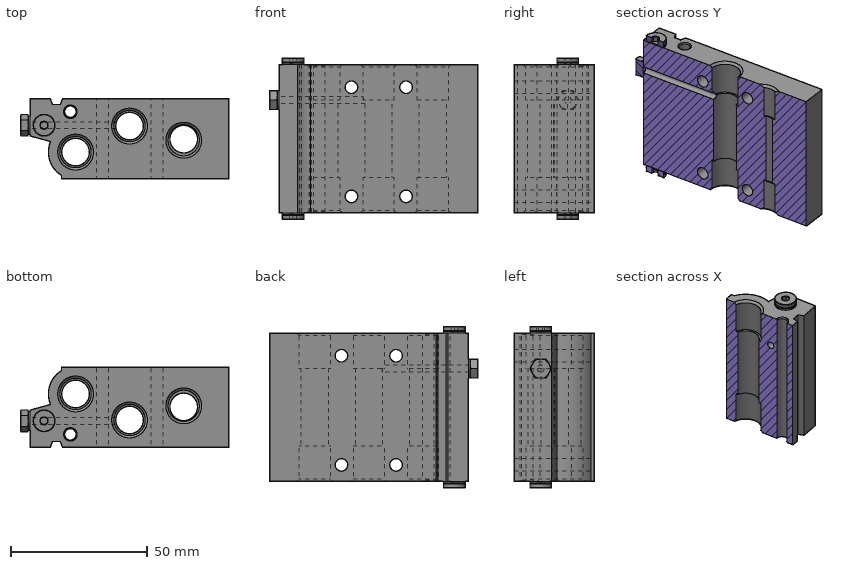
import cadquery as cq
import math

TOTAL_LENGTH = 76.4
TOTAL_HEIGHT = 59.3

BLOCK_LENGTH = 72.9
BLOCK_DEPTH = 29.5
BLOCK_HEIGHT = 54.3

BULGE_RADIUS = 10.0
FOOT_X = 11.45
LEFT_FACE_FRONT_Y = 15.75
SLOPE_END_X = 7.4

GROOVE_CENTER_X = 9.6
GROOVE_MOUTH_WIDTH = 4.4
GROOVE_FLOOR_WIDTH = 2.8
GROOVE_DEPTH = 2.15

PORT_CENTERS = [(16.65, 9.85), (36.45, 19.4), (56.3, 14.2)]
PORT_BORE_OFFSETS_Y = [0, 0, 0.4]
PORT_DIAMETER = 10.0
PORT_THREAD_DIAMETER = 11.45
PORT_MOUTH_DIAMETER = 13.15
PORT_THREAD_DEPTH = 13.0

SMALL_HOLE_CENTER = (14.75, 24.7)
SMALL_HOLE_DIAMETER = 4.1
SMALL_HOLE_MOUTH_DIAMETER = 5.0

MOUNT_HOLE_DIAMETER = 4.5
MOUNT_HOLE_PITCH_X = 20.0
MOUNT_HOLE_PITCH_Z = 40.0
MOUNT_HOLE_FIRST_X = 26.5
MOUNT_HOLE_FIRST_Z = 6.0

FASTENER_Y = 19.7
BOLT_DEPTH_BELOW_TOP = 13.0
BOLT_Z = BLOCK_HEIGHT - BOLT_DEPTH_BELOW_TOP
BOLT_PROJECTION = TOTAL_LENGTH - BLOCK_LENGTH
BOLT_ACROSS_FLATS = 6.95
BOLT_COLLAR_LENGTH = 0.7
BOLT_FACE_DIAMETER = 7.25
BOLT_CHAMFER = 0.2
PASSAGE_DIAMETER = 2.5

SCREW_X = 5.1
SCREW_DIAMETER = 8.0
SCREW_HEIGHT = (TOTAL_HEIGHT - BLOCK_HEIGHT) / 2
SCREW_EDGE_CHAMFER = 0.15
SCREW_GROOVE_HEIGHT = 0.85
SCREW_GROOVE_WIDTH = 0.3
SCREW_GROOVE_DEPTH = 0.1
SOCKET_ACROSS_FLATS = 2.5
SOCKET_MOUTH_DIAMETER = 3.0
SOCKET_DEPTH = 2.15


def hexagon_diameter(across_flats):
    """Diameter of the circle through the corners of a hexagon."""
    return across_flats / math.cos(math.pi / 6)


def make_blank():
    bulge_x, bulge_y = PORT_CENTERS[0]
    slope_end_y = bulge_y + math.sqrt(BULGE_RADIUS**2 - (bulge_x - SLOPE_END_X) ** 2)
    foot_top_y = bulge_y - math.sqrt(BULGE_RADIUS**2 - (bulge_x - FOOT_X) ** 2)
    groove_floor_y = BLOCK_DEPTH - GROOVE_DEPTH
    return (
        cq.Workplane("XY")
        .moveTo(0, BLOCK_DEPTH)
        .lineTo(0, LEFT_FACE_FRONT_Y)
        .lineTo(SLOPE_END_X, slope_end_y)
        .threePointArc((bulge_x - BULGE_RADIUS, bulge_y), (FOOT_X, foot_top_y))
        .lineTo(FOOT_X, 0)
        .lineTo(BLOCK_LENGTH, 0)
        .lineTo(BLOCK_LENGTH, BLOCK_DEPTH)
        .lineTo(GROOVE_CENTER_X + GROOVE_MOUTH_WIDTH / 2, BLOCK_DEPTH)
        .lineTo(GROOVE_CENTER_X + GROOVE_FLOOR_WIDTH / 2, groove_floor_y)
        .lineTo(GROOVE_CENTER_X - GROOVE_FLOOR_WIDTH / 2, groove_floor_y)
        .lineTo(GROOVE_CENTER_X - GROOVE_MOUTH_WIDTH / 2, BLOCK_DEPTH)
        .close()
        .extrude(BLOCK_HEIGHT)
    )


def cylinder(center, diameter, bottom, top):
    """Upright cylinder between two heights."""
    return cq.Workplane("XY", origin=(*center, bottom)).circle(diameter / 2).extrude(top - bottom)


def end_countersinks(center, hole_diameter, mouth_diameter):
    """45 degree countersinks of a vertical hole, at the top and the bottom of the block."""
    depth = (mouth_diameter - hole_diameter) / 2
    top_cone = cq.Solid.makeCone(
        hole_diameter / 2, mouth_diameter / 2, depth, cq.Vector(*center, BLOCK_HEIGHT - depth)
    )
    top = cq.Workplane(obj=top_cone)
    return top.union(top.mirror("XY", (0, 0, BLOCK_HEIGHT / 2)))


def port_cutter(center, bore_offset_y):
    """Through bore, widened to a countersunk thread at both ends."""
    bore_center = (center[0], center[1] + bore_offset_y)
    thread_bottom = BLOCK_HEIGHT - PORT_THREAD_DEPTH
    return (
        cylinder(bore_center, PORT_DIAMETER, 0, BLOCK_HEIGHT)
        .union(cylinder(center, PORT_THREAD_DIAMETER, thread_bottom, BLOCK_HEIGHT))
        .union(cylinder(center, PORT_THREAD_DIAMETER, 0, PORT_THREAD_DEPTH))
        .union(end_countersinks(center, PORT_THREAD_DIAMETER, PORT_MOUTH_DIAMETER))
    )


def small_hole_cutter():
    return cylinder(SMALL_HOLE_CENTER, SMALL_HOLE_DIAMETER, 0, BLOCK_HEIGHT).union(
        end_countersinks(SMALL_HOLE_CENTER, SMALL_HOLE_DIAMETER, SMALL_HOLE_MOUTH_DIAMETER)
    )


def mounting_hole_cutter():
    centers = [
        (MOUNT_HOLE_FIRST_X + column * MOUNT_HOLE_PITCH_X, MOUNT_HOLE_FIRST_Z + row * MOUNT_HOLE_PITCH_Z)
        for column in range(2)
        for row in range(2)
    ]
    return cq.Workplane("XZ").pushPoints(centers).circle(MOUNT_HOLE_DIAMETER / 2).extrude(-BLOCK_DEPTH)


def passage_cutter():
    """Cross drilling from the left face to the axis of the second port."""
    return (
        cq.Workplane("YZ")
        .center(FASTENER_Y, BOLT_Z)
        .circle(PASSAGE_DIAMETER / 2)
        .extrude(PORT_CENTERS[1][0])
    )


def make_block():
    block = make_blank()
    for center, bore_offset_y in zip(PORT_CENTERS, PORT_BORE_OFFSETS_Y):
        block = block.cut(port_cutter(center, bore_offset_y))
    block = block.cut(small_hole_cutter())
    block = block.cut(mounting_hole_cutter())
    return block.cut(passage_cutter())


def make_plug_bolt():
    """Hexagon head with chamfered corners and a round collar against the block."""
    corner_diameter = hexagon_diameter(BOLT_ACROSS_FLATS)
    collar = BOLT_ACROSS_FLATS / 2
    corner = corner_diameter / 2
    hexagon = cq.Workplane("XY").polygon(6, corner_diameter).extrude(BOLT_PROJECTION)
    envelope = (
        cq.Workplane("XZ")
        .lineTo(collar, 0)
        .lineTo(collar, BOLT_COLLAR_LENGTH)
        .lineTo(corner, BOLT_COLLAR_LENGTH + BOLT_CHAMFER)
        .lineTo(corner, BOLT_PROJECTION - BOLT_CHAMFER)
        .lineTo(BOLT_FACE_DIAMETER / 2, BOLT_PROJECTION)
        .lineTo(0, BOLT_PROJECTION)
        .close()
        .revolve(360, (0, 0, 0), (0, 1, 0))
    )
    return (
        hexagon.intersect(envelope)
        .rotate((0, 0, 0), (0, 0, 1), 90)
        .rotate((0, 0, 0), (0, 1, 0), -90)
        .translate((0, FASTENER_Y, BOLT_Z))
    )


def make_top_screw():
    """Round screw head with a fine groove near its base and a countersunk hexagon socket."""
    radius = SCREW_DIAMETER / 2
    head = (
        cq.Workplane("XY")
        .circle(radius)
        .extrude(SCREW_HEIGHT)
        .faces(">Z")
        .edges()
        .chamfer(SCREW_EDGE_CHAMFER)
    )
    groove = (
        cq.Workplane("XY")
        .workplane(offset=SCREW_GROOVE_HEIGHT - SCREW_GROOVE_WIDTH / 2)
        .circle(radius)
        .circle(radius - SCREW_GROOVE_DEPTH)
        .extrude(SCREW_GROOVE_WIDTH)
    )
    socket = (
        cq.Workplane("XY")
        .workplane(offset=SCREW_HEIGHT - SOCKET_DEPTH)
        .polygon(6, hexagon_diameter(SOCKET_ACROSS_FLATS))
        .extrude(SOCKET_DEPTH)
        .rotate((0, 0, 0), (0, 0, 1), 90)
    )
    sink_depth = (SOCKET_MOUTH_DIAMETER - SOCKET_ACROSS_FLATS) / 2
    countersink = cq.Solid.makeCone(
        SOCKET_ACROSS_FLATS / 2,
        SOCKET_MOUTH_DIAMETER / 2,
        sink_depth,
        cq.Vector(0, 0, SCREW_HEIGHT - sink_depth),
    )
    head = head.cut(groove).cut(socket).cut(cq.Workplane(obj=countersink))
    return head.translate((SCREW_X, FASTENER_Y, BLOCK_HEIGHT))


def make_end_screws():
    screws = []
    for at_bottom in (False, True):
        screw = make_top_screw()
        if at_bottom:
            screw = screw.mirror("XY", (0, 0, BLOCK_HEIGHT / 2))
        screws.append(screw.val())
    return screws


block = make_block()
plug_bolt = make_plug_bolt()
end_screws = make_end_screws()

result = cq.Compound.makeCompound([block.val(), plug_bolt.val(), *end_screws])